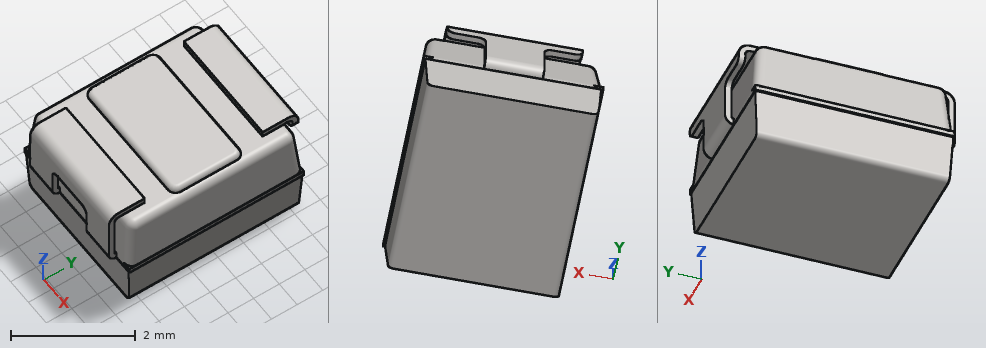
import cadquery as cq
import math

total_length = 3.7
total_height = 2.03

flange_width = 2.93
flange_length = 3.405
flange_bottom = 0.862
flange_thickness = 0.095
flange_top = flange_bottom + flange_thickness
upper_width = 2.923
upper_length = 3.405
body_top = 1.913
upper_draft = 5.0
upper_round = 0.15

lower_width = 2.87
lower_length = 3.395
lower_draft = 3.0
lower_round = 0.1

pad_width = 2.498
pad_length = 1.395
pad_height = 0.095
pad_corner = 0.15

lead_width = 2.2
lead_thickness = 0.11
flap_length = 0.7
top_bend = 0.2
bottom_bend = 0.175

window_width = 0.96
window_top = 1.572
window_corner = 0.148

tongue_width = window_width
shoulder_height = 1.672
shoulder_round = 0.125


def upper_body():
    """Drafted block above the flange with every edge but the bottom ones rounded."""
    block = (
        cq.Workplane("XY")
        .workplane(offset=flange_top)
        .rect(upper_width, upper_length)
        .extrude(body_top - flange_top, taper=upper_draft)
    )
    return block.edges("not <Z").fillet(upper_round)


def flange():
    """Square-edged parting band around the body."""
    return (
        cq.Workplane("XY")
        .workplane(offset=flange_bottom)
        .rect(flange_width, flange_length)
        .extrude(flange_thickness)
    )


def lower_body():
    """Drafted block below the flange with its two long bottom edges rounded."""
    block = (
        cq.Workplane("XY")
        .workplane(offset=flange_bottom)
        .rect(lower_width, lower_length)
        .extrude(-flange_bottom, taper=lower_draft)
    )
    return block.faces("<Z").edges("|Y").fillet(lower_round)


def pad():
    """Raised pad, sunk into the body by its own height so it meets the rounded edges."""
    return (
        cq.Workplane("XY")
        .workplane(offset=body_top - pad_height)
        .rect(pad_width, pad_length)
        .extrude(2 * pad_height)
        .edges("|Z")
        .fillet(pad_corner)
        .faces(">Z")
        .edges()
        .fillet(pad_height)
    )


def bent_strip():
    """Full-width lead at the front (-Y): top flap, upright and a bottom bend into the flange."""
    outer_y = -total_length / 2
    inner_y = outer_y + lead_thickness
    flap_end_y = outer_y + flap_length
    flap_bottom = total_height - lead_thickness

    top_center = (outer_y + top_bend, total_height - top_bend)
    bottom_center = (outer_y + bottom_bend, flange_bottom + bottom_bend)
    top_inner = top_bend - lead_thickness
    bottom_inner = bottom_bend - lead_thickness

    def on_bend(center, radius, vertical):
        """Midpoint of a quarter bend on the outward side, above (1) or below (-1) its center."""
        offset = radius * math.sqrt(0.5)
        return (center[0] - offset, center[1] + vertical * offset)

    return (
        cq.Workplane("YZ")
        .moveTo(flap_end_y, total_height)
        .lineTo(top_center[0], total_height)
        .threePointArc(on_bend(top_center, top_bend, 1), (outer_y, top_center[1]))
        .lineTo(outer_y, bottom_center[1])
        .threePointArc(on_bend(bottom_center, bottom_bend, -1), (bottom_center[0], flange_bottom))
        .lineTo(bottom_center[0], flange_bottom + lead_thickness)
        .threePointArc(on_bend(bottom_center, bottom_inner, -1), (inner_y, bottom_center[1]))
        .lineTo(inner_y, top_center[1])
        .threePointArc(on_bend(top_center, top_inner, 1), (top_center[0], flap_bottom))
        .lineTo(flap_end_y, flap_bottom)
        .close()
        .extrude(lead_width / 2, both=True)
    )


def front_lead():
    """Lead split at the bottom by an open window with rounded top corners."""
    window = (
        cq.Workplane("XY")
        .box(window_width, flap_length, window_top, centered=(True, False, False))
        .edges("|Y and >Z")
        .fillet(window_corner)
        .translate((0, -total_length / 2, 0))
    )
    return bent_strip().cut(window)


def back_lead():
    """Lead with rounded shoulders that narrow it to a central tongue."""
    strip = bent_strip().rotate((0, 0, 0), (0, 0, 1), 180)
    half_width = lead_width / 2
    half_tongue = tongue_width / 2
    fillet_offset = shoulder_round * (1 - math.sqrt(0.5))

    side_waste = (
        cq.Workplane("XZ")
        .moveTo(half_tongue, 0)
        .lineTo(half_tongue, shoulder_height - shoulder_round)
        .threePointArc(
            (half_tongue + fillet_offset, shoulder_height - fillet_offset),
            (half_tongue + shoulder_round, shoulder_height),
        )
        .lineTo(half_width - shoulder_round, shoulder_height)
        .threePointArc(
            (half_width - fillet_offset, shoulder_height + fillet_offset),
            (half_width, shoulder_height + shoulder_round),
        )
        .lineTo(half_width, 0)
        .close()
        .extrude(-total_length / 2)
    )
    return strip.cut(side_waste).cut(side_waste.mirror("YZ"))


result = (
    lower_body()
    .union(flange())
    .union(upper_body())
    .union(pad())
    .union(front_lead())
    .union(back_lead())
)